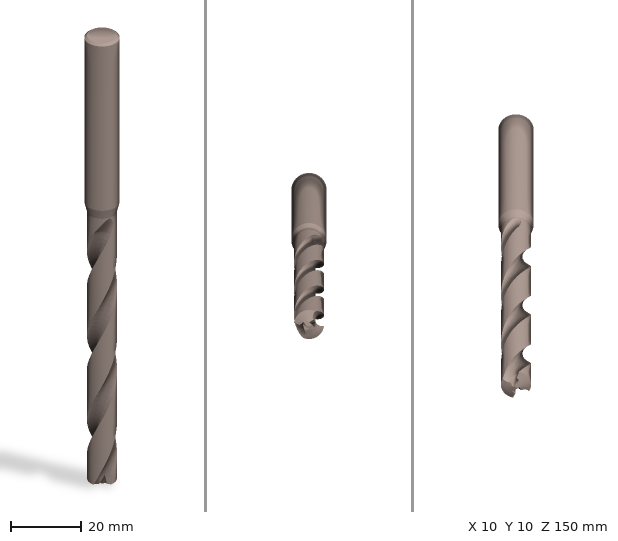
import cadquery as cq
import math

TOTAL_LENGTH = 150
SHANK_DIAMETER = 10.0
DRILL_DIAMETER = 8.5
DRILL_RADIUS = DRILL_DIAMETER / 2

SHANK_BOTTOM = 94.4
NECK_TOP = 91.2
FLUTE_TOP = 85.4
JOINT_HEIGHT = 74.0
POINT_HEIGHT = 1.6

BEVEL_HEIGHT = 0.6
BEVEL_INSET = 0.8

FLUTE_COUNT = 2
FLUTE_PITCH = 56.2
FLUTE_TOP_ANGLE = -71
FLUTE_WIDTH_ANGLE = 72
CORE_RADIUS = 1.8
CUT_MARGIN = 1.5

RUNOUT_RISE = 5.8
RUNOUT_OUTWARD = 1.5
RUNOUT_SIDEWAYS = 3.9

GASH_WEB = 0.6
GASH_LEFT = -0.9
GASH_PEAK = 1.0
GASH_RIGHT = 2.0
GASH_HEIGHT = 3.8

edge_distance = DRILL_RADIUS * math.cos(math.radians(FLUTE_WIDTH_ANGLE / 2))
flute_center = (DRILL_RADIUS**2 - CORE_RADIUS**2) / (2 * (edge_distance - CORE_RADIUS))
flute_radius = flute_center - CORE_RADIUS


def revolved(profile):
    """Turn a half profile of (radius, height) points about the Z axis."""
    return cq.Workplane("YZ").polyline(profile).close().revolve(360, (0, 0), (0, 1))


def around_axis(body, angle):
    return body.rotate((0, 0, 0), (0, 0, 1), angle)


def flute_angles(height):
    """Directions of the flute centers at a height."""
    twist = 360 * (height - FLUTE_TOP) / FLUTE_PITCH
    return [FLUTE_TOP_ANGLE + twist + index * 360 / FLUTE_COUNT for index in range(FLUTE_COUNT)]


def helical_flutes(bottom, top):
    """Cutters for the flutes between two heights."""
    length = top - bottom
    flute = (
        cq.Workplane("XY")
        .center(flute_center, 0)
        .circle(flute_radius)
        .center(-flute_center, 0)
        .twistExtrude(length, 360 * length / FLUTE_PITCH)
        .translate((0, 0, bottom))
    )
    return [around_axis(flute, angle) for angle in flute_angles(bottom)]


def flute_runout(top_angle):
    """Straight cutter that carries on from the top of a flute and climbs out of the neck."""
    section = cq.Wire.makeCircle(flute_radius, cq.Vector(flute_center, 0, FLUTE_TOP), cq.Vector(0, 0, 1))
    runout = cq.Solid.extrudeLinear(section, [], cq.Vector(RUNOUT_OUTWARD, RUNOUT_SIDEWAYS, RUNOUT_RISE))
    return around_axis(cq.Workplane(runout), top_angle)


def point_gash():
    """V-shaped cutter that thins the web at the point, in front of a flute along +X."""
    return (
        cq.Workplane("YZ", origin=(GASH_WEB, 0, 0))
        .polyline([(GASH_LEFT, 0), (GASH_PEAK, GASH_HEIGHT), (GASH_RIGHT, 0)])
        .close()
        .extrude(DRILL_RADIUS)
    )


def make_holder():
    """Plain shank with a tapered shoulder and the fluted neck below it."""
    shank_radius = SHANK_DIAMETER / 2
    holder = revolved([
        (0, JOINT_HEIGHT),
        (DRILL_RADIUS, JOINT_HEIGHT),
        (DRILL_RADIUS, NECK_TOP),
        (shank_radius, SHANK_BOTTOM),
        (shank_radius, TOTAL_LENGTH - BEVEL_HEIGHT),
        (shank_radius - BEVEL_INSET, TOTAL_LENGTH),
        (0, TOTAL_LENGTH),
    ])
    for flute in helical_flutes(JOINT_HEIGHT - CUT_MARGIN, FLUTE_TOP):
        holder = holder.cut(flute)
    for angle in flute_angles(FLUTE_TOP):
        holder = holder.cut(flute_runout(angle))
    return holder


def make_cutting_body():
    """Fluted cutting length with a conical, web-thinned point."""
    body = revolved([
        (0, 0),
        (DRILL_RADIUS, POINT_HEIGHT),
        (DRILL_RADIUS, JOINT_HEIGHT),
        (0, JOINT_HEIGHT),
    ])
    for flute in helical_flutes(-CUT_MARGIN, JOINT_HEIGHT + CUT_MARGIN):
        body = body.cut(flute)
    for angle in flute_angles(0):
        body = body.cut(around_axis(point_gash(), angle))
    return body


holder = make_holder()
cutting_body = make_cutting_body()

result = cq.Compound.makeCompound([holder.solids().val(), cutting_body.solids().val()])